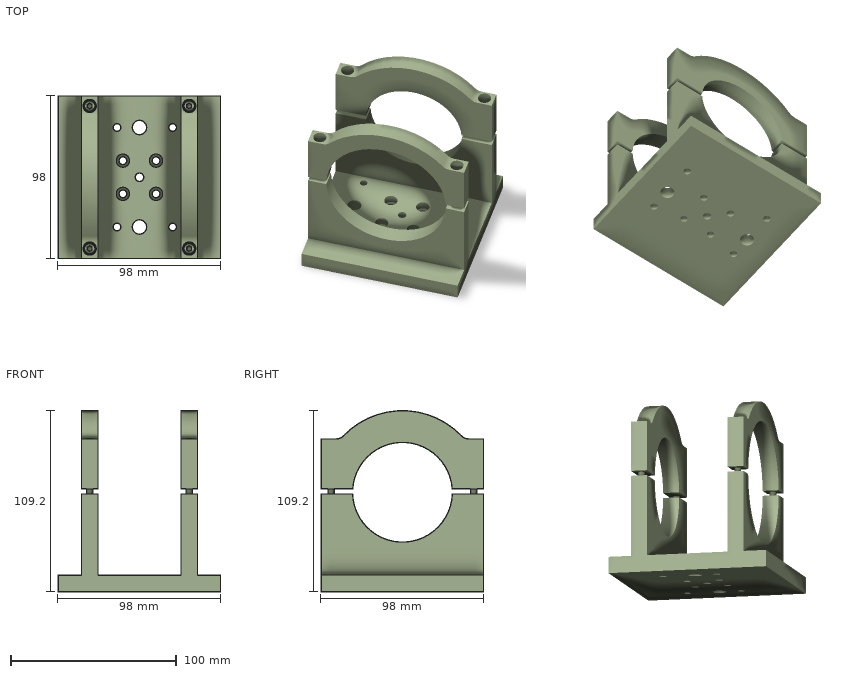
import cadquery as cq
import math

base_size = 98.0
base_thickness = 10.0

plate_thickness = 10.0
plate_spacing = 60.0
bore_height = 60.0
left_bore_radius = 37.5
right_bore_radius = 30.0
cap_radius = 49.25
ear_top = 92.25
ear_fillet = 6.0
gap_bottom = 59.0
gap_top = 62.0

screw_span = 86.0
screw_diameter = 4.0
screw_well_diameter = 8.0
screw_head_diameter = 7.0
screw_head_height = 4.0
screw_head_chamfer = 0.4
screw_socket_sides = 6
screw_socket_width = 3.0
screw_socket_depth = 2.0
screw_socket_tip_depth = 0.8
screw_seat_height = 72.0

center_hole_diameter = 5.0
counterbored_pitch = 20.0
counterbored_diameter = 4.5
counterbore_diameter = 8.0
counterbore_depth = 5.0
row_spacing = 60.0
large_hole_diameter = 8.5
small_hole_diameter = 4.5
small_hole_left_x = -13.5
small_hole_right_x = 20.0

half_width = base_size / 2
half_span = screw_span / 2


def make_base():
    """Square plate with all of its vertical holes."""
    plate = cq.Workplane("XY").box(base_size, base_size, base_thickness, centered=(True, True, False))
    half_row = row_spacing / 2
    half_pitch = counterbored_pitch / 2
    rows = (-half_row, half_row)
    small_points = [(x, y) for x in (small_hole_left_x, small_hole_right_x) for y in rows]
    large_points = [(0, y) for y in rows]
    square_points = [(x, y) for x in (-half_pitch, half_pitch) for y in (-half_pitch, half_pitch)]
    for points, diameter in (
        ([(0, 0)], center_hole_diameter),
        (large_points, large_hole_diameter),
        (small_points, small_hole_diameter),
        (square_points, counterbored_diameter),
    ):
        drill = cq.Workplane("XY").pushPoints(points).circle(diameter / 2).extrude(base_thickness)
        plate = plate.cut(drill)
    counterbores = (
        cq.Workplane("XY", origin=(0, 0, base_thickness - counterbore_depth))
        .pushPoints(square_points)
        .circle(counterbore_diameter / 2)
        .extrude(counterbore_depth)
    )
    return plate.cut(counterbores)


def make_screw():
    """Socket head screw on the Z axis, reaching from the lower half up to its head."""
    shank = (
        cq.Workplane("XY", origin=(0, 0, gap_bottom))
        .circle(screw_diameter / 2)
        .extrude(screw_seat_height - gap_bottom)
    )
    head = (
        cq.Workplane("XY", origin=(0, 0, screw_seat_height))
        .circle(screw_head_diameter / 2)
        .extrude(screw_head_height)
        .faces(">Z")
        .chamfer(screw_head_chamfer)
    )
    head_top = screw_seat_height + screw_head_height
    socket_floor = head_top - screw_socket_depth
    socket = (
        cq.Workplane("XY", origin=(0, 0, socket_floor))
        .transformed(rotate=(0, 0, 180 / screw_socket_sides))
        .polygon(screw_socket_sides, screw_socket_width / math.cos(math.pi / screw_socket_sides))
        .extrude(screw_socket_depth)
    )
    socket_tip = cq.Workplane(
        cq.Solid.makeCone(
            0,
            screw_socket_width / 2,
            screw_socket_tip_depth,
            pnt=cq.Vector(0, 0, socket_floor - screw_socket_tip_depth),
        )
    )
    return shank.union(head).cut(socket).cut(socket_tip)


def plate_profile():
    """Outline of a clamp plate in the YZ plane, with fillets where the crown meets the ears."""
    ear_rise = ear_top - bore_height
    fillet_distance = cap_radius + ear_fillet
    fillet_z = ear_rise + ear_fillet
    fillet_y = math.sqrt(fillet_distance**2 - fillet_z**2)
    crown_y = fillet_y * cap_radius / fillet_distance
    crown_z = bore_height + fillet_z * cap_radius / fillet_distance
    middle_angle = (math.atan2(-fillet_z, -fillet_y) - math.pi / 2) / 2
    middle_y = fillet_y + ear_fillet * math.cos(middle_angle)
    middle_z = bore_height + fillet_z + ear_fillet * math.sin(middle_angle)
    return (
        cq.Workplane("YZ")
        .moveTo(-half_width, base_thickness)
        .lineTo(half_width, base_thickness)
        .lineTo(half_width, ear_top)
        .lineTo(fillet_y, ear_top)
        .threePointArc((middle_y, middle_z), (crown_y, crown_z))
        .threePointArc((0, bore_height + cap_radius), (-crown_y, crown_z))
        .threePointArc((-middle_y, middle_z), (-fillet_y, ear_top))
        .lineTo(-half_width, ear_top)
        .close()
    )


def make_clamp(bore_radius):
    """Split clamp plate centred on X = 0, its two halves joined by the clamp screws."""
    clamp = plate_profile().extrude(plate_thickness / 2, both=True)
    bore = (
        cq.Workplane("YZ")
        .center(0, bore_height)
        .circle(bore_radius)
        .extrude(plate_thickness / 2, both=True)
    )
    gap = cq.Workplane("XY", origin=(0, 0, gap_bottom)).rect(plate_thickness, base_size)
    clamp = clamp.cut(bore).cut(gap.extrude(gap_top - gap_bottom))
    screw = make_screw()
    well = (
        cq.Workplane("XY", origin=(0, 0, screw_seat_height))
        .circle(screw_well_diameter / 2)
        .extrude(bore_height + cap_radius - screw_seat_height)
    )
    for y in (-half_span, half_span):
        clamp = clamp.cut(well.translate((0, y, 0))).union(screw.translate((0, y, 0)))
    return clamp


result = make_base()
for x, bore_radius in ((-plate_spacing / 2, left_bore_radius), (plate_spacing / 2, right_bore_radius)):
    result = result.union(make_clamp(bore_radius).translate((x, 0, 0)))